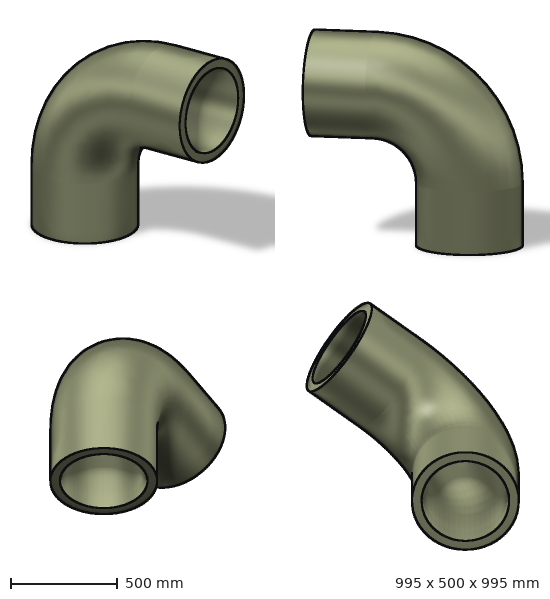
import cadquery as cq

overall_size = 995.0
outer_diameter = 500.0
bore_diameter = 409.0
spigot_length = 298.5
bend_angle = 90

bend_radius = overall_size - spigot_length - outer_diameter / 2


def pipe_ring(plane):
    """Annular pipe section centred on the plane's origin."""
    return cq.Workplane(plane).circle(outer_diameter / 2).circle(bore_diameter / 2)


vertical_spigot = pipe_ring("XY").extrude(spigot_length)

bend = (
    pipe_ring("XY")
    .revolve(bend_angle, (bend_radius, 0, 0), (bend_radius, 1, 0))
    .translate((0, 0, spigot_length))
)

horizontal_spigot = (
    pipe_ring("YZ")
    .extrude(spigot_length)
    .translate((bend_radius, 0, spigot_length + bend_radius))
)

result = vertical_spigot.union(bend).union(horizontal_spigot)